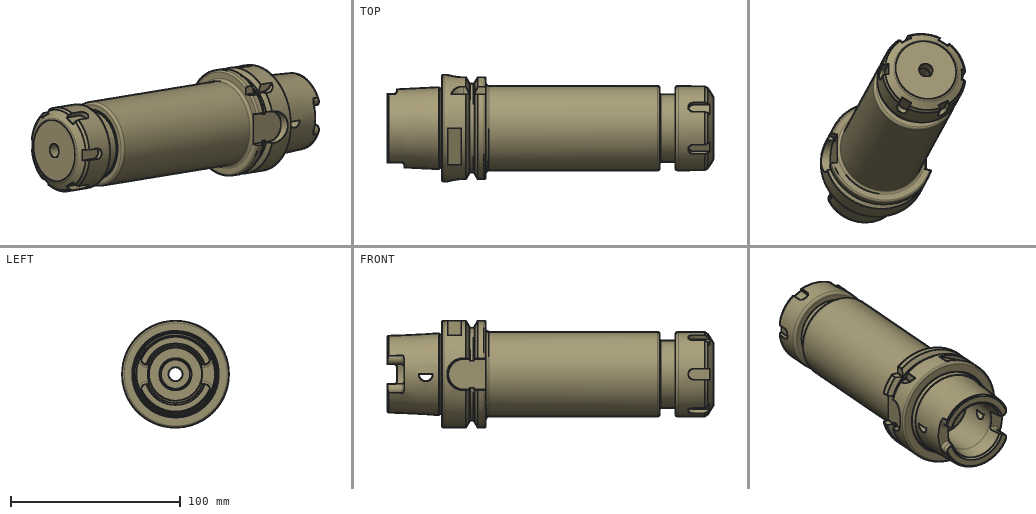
import cadquery as cq
import math

TOTAL_LENGTH = 192.0

SHANK_LARGE_DIA = 48.4
SHANK_TAPER_END = 30.1
SHANK_TAPER_RATIO = 0.1
SHANK_TIP_CHAMFER = 0.8
UNDERCUT_DIA = 47.2
UNDERCUT_RAMP = 0.5

MOUTH_DIA = 36.3
MOUTH_CHAMFER = 1.2
BORE_ENTRY_DIA = 34.0
BORE_DIA = 31.1
BORE_CONE_END = 11.5
BORE_FLOOR = 38.4
COUNTERBORE_MOUTH_DIA = 19.0
COUNTERBORE_DIA = 17.0
COUNTERBORE_CHAMFER = (COUNTERBORE_MOUTH_DIA - COUNTERBORE_DIA) / 2
COUNTERBORE_DEPTH = 7.7
THROUGH_DIA = 8.0

SHANK_SLOT_WIDTH = 11.5
SHANK_SLOT_LIP = 3.5
SHANK_SLOT_END_FILLET = 1.5
SHANK_SLOT_RELIEF = 5.8
FRONT_SLOT_DEPTH = 10.0
BACK_SLOT_DEPTH = 5.5

CROSS_HOLE_DIA = 8.0
CROSS_HOLE_X = 22.7

FLANGE_DIA = 63.0
FLANGE_START = 32.0
FLANGE_END = 58.0
FLANGE_FILLET = 1.2
FACE_RECESS_DIA = 51.0
FACE_RECESS_DEPTH = 0.8
RECESS_FILLET = 1.3
RECESS_CHAMFER = 0.4

GROOVE_CENTRE = 49.7
GROOVE_MOUTH_WIDTH = 7.0
GROOVE_NECK_WIDTH = 3.3
GROOVE_DIA = 55.0
GROOVE_WALL_ANGLE = 60.0
GROOVE_FLOOR_FILLET = 0.8

KEY_FLOOR_OFFSET = 26.3
KEY_FLOOR_WIDTH = 17.9
KEY_WALL_DRAFT = 8.0
KEY_START = 36.0

NOTCH_FLOOR_Z = 19.8
NOTCH_WALL_Y = 20.0
NOTCH_FLOOR_START = 44.5
NOTCH_RUNOUT_RADIUS = 7.7

FLAT_START = 35.5
FLAT_LENGTH = 8.0
FLAT_WIDTH = 23.0
FLAT_HALF_ANGLE = math.asin(FLAT_WIDTH / FLANGE_DIA)

BODY_DIA = 50.0
BODY_END = 160.3
BODY_ROOT_FILLET = 1.7
BODY_END_FILLET = 1.5
NECK_DIA = 40.0
NECK_COLLAR_DIA = 41.0
NECK_COLLAR_WIDTH = 0.5

NUT_DIA = BODY_DIA
NUT_START = 169.3
NUT_FILLET = 1.7
NUT_BEVEL_START = 186.6
NUT_CONE_START = 188.5
NUT_CONE_START_DIA = 47.6
NUT_CONE_END = 191.5
NUT_CONE_END_DIA = 38.4
NUT_FACE_DIA = 36.3
NUT_POCKET_END = 184.3
NUT_SLOT_COUNT = 6
NUT_SLOT_WIDTH = 6.3
NUT_SLOT_START = 177.0
NUT_SLOT_FLOOR = 21.9


def revolve_about_x(sketch):
    """Revolve a closed (X, radius) outline a full turn about the X axis."""
    return sketch.close().revolve(360, (0, 0, 0), (1, 0, 0))


def rod(start, end, diameter):
    """Cylinder on the tool axis between two X positions."""
    return cq.Workplane("YZ").workplane(offset=start).circle(diameter / 2).extrude(end - start)


def holder_blank():
    shank_r = SHANK_LARGE_DIA / 2
    tip_r = shank_r - SHANK_TAPER_RATIO * (SHANK_TAPER_END - SHANK_TIP_CHAMFER) / 2
    recess_floor = FLANGE_START + FACE_RECESS_DEPTH
    flange_r = FLANGE_DIA / 2
    body_r = BODY_DIA / 2
    return revolve_about_x(
        cq.Workplane("XY")
        .moveTo(0, 0)
        .lineTo(0, tip_r - SHANK_TIP_CHAMFER)
        .lineTo(SHANK_TIP_CHAMFER, tip_r)
        .lineTo(SHANK_TAPER_END, shank_r)
        .lineTo(SHANK_TAPER_END + UNDERCUT_RAMP, UNDERCUT_DIA / 2)
        .lineTo(recess_floor - RECESS_FILLET, UNDERCUT_DIA / 2)
        .radiusArc((recess_floor, UNDERCUT_DIA / 2 + RECESS_FILLET), -RECESS_FILLET)
        .lineTo(FLANGE_START + RECESS_CHAMFER, FACE_RECESS_DIA / 2 - RECESS_CHAMFER)
        .lineTo(FLANGE_START, FACE_RECESS_DIA / 2)
        .lineTo(FLANGE_START, flange_r - FLANGE_FILLET)
        .radiusArc((FLANGE_START + FLANGE_FILLET, flange_r), FLANGE_FILLET)
        .lineTo(FLANGE_END - FLANGE_FILLET, flange_r)
        .radiusArc((FLANGE_END, flange_r - FLANGE_FILLET), FLANGE_FILLET)
        .lineTo(FLANGE_END, body_r + BODY_ROOT_FILLET)
        .radiusArc((FLANGE_END + BODY_ROOT_FILLET, body_r), -BODY_ROOT_FILLET)
        .lineTo(BODY_END - BODY_END_FILLET, body_r)
        .radiusArc((BODY_END, body_r - BODY_END_FILLET), BODY_END_FILLET)
        .lineTo(BODY_END, NECK_COLLAR_DIA / 2)
        .lineTo(BODY_END + NECK_COLLAR_WIDTH, NECK_DIA / 2)
        .lineTo(NUT_POCKET_END, NECK_DIA / 2)
        .lineTo(NUT_POCKET_END, 0)
    )


def stepped_bore():
    counterbore_end = BORE_FLOOR + COUNTERBORE_DEPTH
    return revolve_about_x(
        cq.Workplane("XY")
        .moveTo(0, 0)
        .lineTo(0, MOUTH_DIA / 2)
        .lineTo(MOUTH_CHAMFER, BORE_ENTRY_DIA / 2)
        .lineTo(BORE_CONE_END, BORE_DIA / 2)
        .lineTo(BORE_FLOOR, BORE_DIA / 2)
        .lineTo(BORE_FLOOR, COUNTERBORE_MOUTH_DIA / 2)
        .lineTo(BORE_FLOOR + COUNTERBORE_CHAMFER, COUNTERBORE_DIA / 2)
        .lineTo(counterbore_end, COUNTERBORE_DIA / 2)
        .lineTo(counterbore_end, THROUGH_DIA / 2)
        .lineTo(NUT_POCKET_END, THROUGH_DIA / 2)
        .lineTo(NUT_POCKET_END, 0)
    )


def shank_slot(side, depth):
    """Slot in the shank end on one Y side, its walls rounding out into the taper."""
    tip_r = (SHANK_LARGE_DIA - SHANK_TAPER_RATIO * SHANK_TAPER_END) / 2
    half_width = SHANK_SLOT_WIDTH / 2
    lip_z = half_width + SHANK_SLOT_LIP
    lip_y = math.sqrt((tip_r - SHANK_SLOT_LIP) ** 2 - lip_z ** 2)
    tangent_scale = tip_r / (tip_r - SHANK_SLOT_LIP)
    flare_y = lip_y * tangent_scale
    flare_z = lip_z * tangent_scale
    outside_y = flare_y + SHANK_SLOT_RELIEF
    outside_z = outside_y * flare_z / flare_y
    return (
        cq.Workplane("YZ")
        .moveTo(0, -half_width)
        .lineTo(side * lip_y, -half_width)
        .radiusArc((side * flare_y, -flare_z), side * SHANK_SLOT_LIP)
        .lineTo(side * outside_y, -outside_z)
        .lineTo(side * outside_y, outside_z)
        .lineTo(side * flare_y, flare_z)
        .radiusArc((side * lip_y, half_width), side * SHANK_SLOT_LIP)
        .lineTo(0, half_width)
        .close()
        .extrude(depth)
        .faces(">X")
        .edges()
        .fillet(SHANK_SLOT_END_FILLET)
    )


def cross_hole():
    """Hole across the shank along Y; only its lower half is open."""
    radius = CROSS_HOLE_DIA / 2
    return (
        cq.Workplane("XZ")
        .moveTo(CROSS_HOLE_X - radius, 0)
        .threePointArc((CROSS_HOLE_X, -radius), (CROSS_HOLE_X + radius, 0))
        .close()
        .extrude(SHANK_LARGE_DIA / 2, both=True)
    )


def gripper_groove():
    mouth_half = GROOVE_MOUTH_WIDTH / 2
    neck_half = GROOVE_NECK_WIDTH / 2
    flange_r = FLANGE_DIA / 2
    floor_r = GROOVE_DIA / 2
    wall_slope = math.tan(math.radians(GROOVE_WALL_ANGLE))
    neck_r = flange_r - (mouth_half - neck_half) * wall_slope
    floor_half = neck_half - GROOVE_FLOOR_FILLET
    fillet_r = floor_r + GROOVE_FLOOR_FILLET
    return revolve_about_x(
        cq.Workplane("XY")
        .center(GROOVE_CENTRE, 0)
        .moveTo(-mouth_half, flange_r)
        .lineTo(-neck_half, neck_r)
        .lineTo(-neck_half, fillet_r)
        .radiusArc((-floor_half, floor_r), -GROOVE_FLOOR_FILLET)
        .lineTo(floor_half, floor_r)
        .radiusArc((neck_half, fillet_r), -GROOVE_FLOOR_FILLET)
        .lineTo(neck_half, neck_r)
        .lineTo(mouth_half, flange_r)
    )


def key_slot(angle):
    """Round-ended slot with drafted walls, open towards +X; angle 0 puts it on -Y."""
    radius = KEY_FLOOR_WIDTH / 2
    arc_x = KEY_START + radius
    return (
        cq.Workplane("XZ", origin=(0, -KEY_FLOOR_OFFSET, 0))
        .moveTo(FLANGE_END, radius)
        .lineTo(arc_x, radius)
        .threePointArc((KEY_START, 0), (arc_x, -radius))
        .lineTo(FLANGE_END, -radius)
        .close()
        .extrude(FLANGE_DIA / 2, taper=-KEY_WALL_DRAFT)
        .rotate((0, 0, 0), (1, 0, 0), angle)
    )


def corner_notch():
    """Step cut in the +Y +Z part of the flange, running out in an arc towards -X."""
    top_z = NOTCH_FLOOR_Z + NOTCH_RUNOUT_RADIUS
    outside = FLANGE_DIA / 2
    return (
        cq.Workplane("XZ", origin=(0, NOTCH_WALL_Y, 0))
        .moveTo(FLANGE_END, NOTCH_FLOOR_Z)
        .lineTo(NOTCH_FLOOR_START, NOTCH_FLOOR_Z)
        .radiusArc((NOTCH_FLOOR_START - NOTCH_RUNOUT_RADIUS, top_z), NOTCH_RUNOUT_RADIUS)
        .lineTo(FLANGE_END, top_z)
        .close()
        .extrude(-outside)
    )


def marking_flat():
    """Flat chord across the flange whose upper edge lies at Y = 0."""
    flange_r = FLANGE_DIA / 2
    flat_offset = flange_r * math.cos(FLAT_HALF_ANGLE)
    return (
        cq.Workplane("XY", origin=(FLAT_START, 0, flat_offset))
        .rect(FLAT_LENGTH, FLANGE_DIA, centered=(False, True))
        .extrude(flange_r)
        .rotate((0, 0, 0), (1, 0, 0), math.degrees(FLAT_HALF_ANGLE))
    )


def make_holder():
    holder = holder_blank().cut(stepped_bore())
    holder = holder.cut(shank_slot(-1, FRONT_SLOT_DEPTH))
    holder = holder.cut(shank_slot(1, BACK_SLOT_DEPTH))
    holder = holder.cut(cross_hole())
    holder = holder.cut(gripper_groove())
    for angle in (0, 180):
        holder = holder.cut(key_slot(angle))
    holder = holder.cut(corner_notch())
    return holder.cut(marking_flat())


def nut_slot(index):
    """Flat-floored wrench slot, open at the nut face; index 0 lies on the -Y side."""
    radius = NUT_SLOT_WIDTH / 2
    arc_x = NUT_SLOT_START + radius
    return (
        cq.Workplane("XZ", origin=(0, -NUT_SLOT_FLOOR, 0))
        .moveTo(TOTAL_LENGTH, radius)
        .lineTo(arc_x, radius)
        .threePointArc((NUT_SLOT_START, 0), (arc_x, -radius))
        .lineTo(TOTAL_LENGTH, -radius)
        .close()
        .extrude(NUT_DIA / 2)
        .rotate((0, 0, 0), (1, 0, 0), index * 360 / NUT_SLOT_COUNT)
    )


def make_nut():
    nut_r = NUT_DIA / 2
    nut = revolve_about_x(
        cq.Workplane("XY")
        .moveTo(NUT_START, 0)
        .lineTo(NUT_START, nut_r - NUT_FILLET)
        .radiusArc((NUT_START + NUT_FILLET, nut_r), NUT_FILLET)
        .lineTo(NUT_BEVEL_START, nut_r)
        .lineTo(NUT_CONE_START, NUT_CONE_START_DIA / 2)
        .lineTo(NUT_CONE_END, NUT_CONE_END_DIA / 2)
        .lineTo(TOTAL_LENGTH, NUT_FACE_DIA / 2)
        .lineTo(TOTAL_LENGTH, 0)
    )
    nut = nut.cut(rod(NUT_START, NUT_POCKET_END, NECK_DIA))
    nut = nut.cut(rod(NUT_POCKET_END, TOTAL_LENGTH, THROUGH_DIA))
    for index in range(NUT_SLOT_COUNT):
        nut = nut.cut(nut_slot(index))
    return nut


holder = make_holder()
nut = make_nut()
result = cq.Compound.makeCompound([holder.val(), nut.val()])